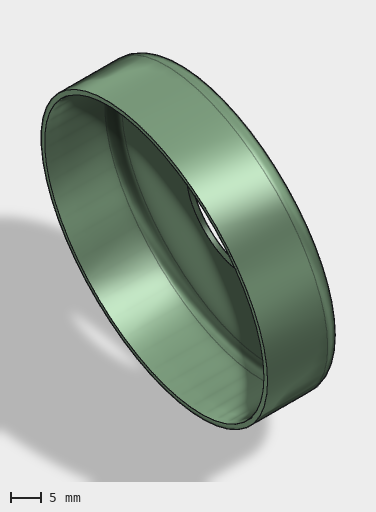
import cadquery as cq

outer_diameter = 62.0
depth = 15.0
wall = 1.0
hole_diameter = 20.5
outer_edge_radius = 3.0
inner_edge_radius = outer_edge_radius - wall


def rounded_disc(diameter, length, edge_radius):
    """Disc running from the rim plane towards +Y, rounded at its far edge."""
    disc = cq.Workplane("XZ").circle(diameter / 2).extrude(-length)
    return disc.faces(">Y").edges().fillet(edge_radius)


shell = rounded_disc(outer_diameter, depth, outer_edge_radius)
cavity = rounded_disc(outer_diameter - 2 * wall, depth - wall, inner_edge_radius)
centre_hole = cq.Workplane("XZ").circle(hole_diameter / 2).extrude(-depth)

result = shell.cut(cavity).cut(centre_hole)